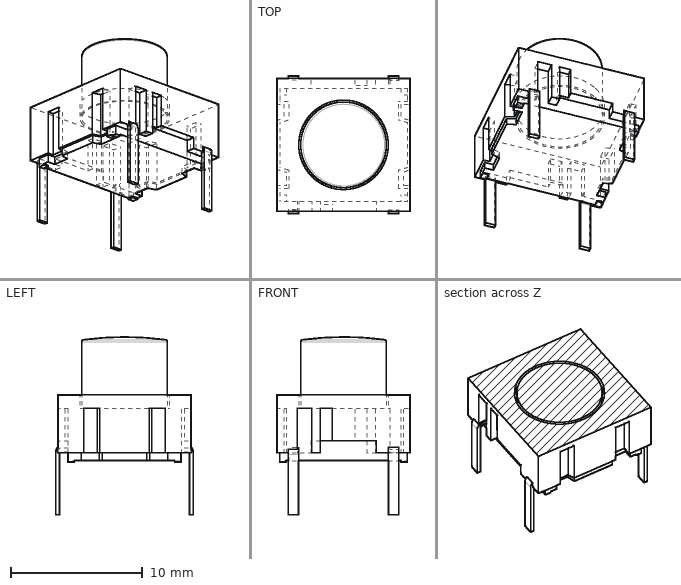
import cadquery as cq
import math


HOUSING_SIZE = 10.1
HOUSING_HEIGHT = 4.4
HALF_HOUSING = HOUSING_SIZE / 2

BASE_X = 9.7
BASE_Y = 8.6
FOOT_SIZE = 0.5
FOOT_HEIGHT = 0.1
BASE_EXPOSED_HEIGHT = 0.6
HOUSING_BOTTOM = FOOT_HEIGHT + BASE_EXPOSED_HEIGHT
HOUSING_TOP = HOUSING_BOTTOM + HOUSING_HEIGHT

BUTTON_DIAMETER = 6.5
BUTTON_PROJECTION = 4.4
BUTTON_TOP = HOUSING_TOP + BUTTON_PROJECTION
DOME_RISE = 0.21
BUTTON_EDGE_RADIUS = 0.15
BUTTON_HOLE_DIAMETER = 6.8
COVER_THICKNESS = 1.0
RECESS_TOP = HOUSING_TOP - COVER_THICKNESS

TALL_SLOT_LEFT = -3.5
TALL_SLOT_WIDTH = 1.1
RIB_WIDTH = 0.65
SHORT_SLOT_WIDTH = 0.9
SHORT_SLOT_DEPTH = 0.53
WINDOW_WIDTH = 4.25
WINDOW_HEIGHT = 0.9
TO_BASE_DEPTH = (HOUSING_SIZE - BASE_Y) / 2

SIDE_SLOT_OUTER_Y = 3.08
SIDE_SLOT_INNER_Y = 1.86
BASE_NOTCH_OUTER_Y = 3.3
BASE_NOTCH_INNER_Y = 1.7
SLANT_SHIFT = 0.21
REAR_SLOT_DEPTH = 0.52
FRONT_SLOT_DEPTH = 0.71
BASE_NOTCH_DEPTH = 0.69

PIN_PITCH = 7.62
PIN_WIDTH = 0.8
PIN_THICKNESS = 0.3
PIN_LENGTH = 4.0
PIN_SPAN = 10.46
BEND_INNER_RADIUS = 0.2
BEND_OUTER_RADIUS = BEND_INNER_RADIUS + PIN_THICKNESS
LOW_PIN_TOP = HOUSING_BOTTOM + 0.4
HIGH_PIN_TOP = LOW_PIN_TOP + 0.15
PIN_EMBEDDED_Y = -4.0


def block(x0, x1, y0, y1, z0, z1):
    """Box between two opposite corners."""
    return cq.Workplane("XY").box(x1 - x0, y1 - y0, z1 - z0, centered=False).translate((x0, y0, z0))


def with_half_turn(shape):
    """The shape joined with its copy turned half a turn about Z."""
    return shape.union(shape.rotate((0, 0, 0), (0, 0, 1), 180))


def make_housing():
    housing = (
        cq.Workplane("XY", origin=(0, 0, HOUSING_BOTTOM))
        .rect(HOUSING_SIZE, HOUSING_SIZE)
        .extrude(HOUSING_HEIGHT)
    )
    button_hole = (
        cq.Workplane("XY", origin=(0, 0, HOUSING_TOP))
        .circle(BUTTON_HOLE_DIAMETER / 2)
        .extrude(-COVER_THICKNESS)
    )
    return housing.cut(button_hole)


def make_front_recesses():
    """Two slots with a rib between them, and a low window running on from the second slot."""
    front = -HALF_HOUSING
    rib_left = TALL_SLOT_LEFT + TALL_SLOT_WIDTH
    rib_right = rib_left + RIB_WIDTH
    window_top = HOUSING_BOTTOM + WINDOW_HEIGHT
    tall_slot = block(TALL_SLOT_LEFT, rib_left, front, front + TO_BASE_DEPTH, HOUSING_BOTTOM, RECESS_TOP)
    short_slot = block(
        rib_right, rib_right + SHORT_SLOT_WIDTH, front, front + SHORT_SLOT_DEPTH, window_top, RECESS_TOP
    )
    window = block(
        rib_right, rib_right + WINDOW_WIDTH, front, front + TO_BASE_DEPTH, HOUSING_BOTTOM, window_top
    )
    return tall_slot.union(short_slot).union(window)


def slanted_notch(side, face_x, floor_x, inner_y, outer_y, z0, z1):
    """Notch in a -X face; its inner wall slants outward with depth. side is +1 for +Y, -1 for -Y."""
    return (
        cq.Workplane("XY", origin=(0, 0, z0))
        .moveTo(face_x, side * inner_y)
        .lineTo(face_x, side * outer_y)
        .lineTo(floor_x, side * outer_y)
        .lineTo(floor_x, side * (inner_y + SLANT_SHIFT))
        .close()
        .extrude(z1 - z0)
    )


def make_side_recess(side, depth):
    """Slot in the housing side, and the wider notch below it in the base."""
    slot_floor = -HALF_HOUSING + depth
    notch_floor = -BASE_X / 2 + BASE_NOTCH_DEPTH
    slot = slanted_notch(
        side, -HALF_HOUSING, slot_floor, SIDE_SLOT_INNER_Y, SIDE_SLOT_OUTER_Y, HOUSING_BOTTOM, RECESS_TOP
    )
    notch = slanted_notch(
        side, -BASE_X / 2, notch_floor, BASE_NOTCH_INNER_Y, BASE_NOTCH_OUTER_Y,
        0, HOUSING_BOTTOM,
    )
    return slot.union(notch)


def make_base():
    base = (
        cq.Workplane("XY", origin=(0, 0, FOOT_HEIGHT))
        .rect(BASE_X, BASE_Y)
        .extrude(BASE_EXPOSED_HEIGHT)
    )
    feet = (
        cq.Workplane("XY")
        .rect(BASE_X - FOOT_SIZE, BASE_Y - FOOT_SIZE, forConstruction=True)
        .vertices()
        .rect(FOOT_SIZE, FOOT_SIZE)
        .extrude(FOOT_HEIGHT)
    )
    return base.union(feet)


def make_button():
    """Cylinder with a rounded rim and a shallow domed top, standing on the floor of the button hole."""
    radius = BUTTON_DIAMETER / 2
    dome_radius = radius - BUTTON_EDGE_RADIUS
    rim_top = BUTTON_TOP - DOME_RISE
    rim_bottom = rim_top - BUTTON_EDGE_RADIUS
    sphere_radius = (dome_radius**2 + DOME_RISE**2) / (2 * DOME_RISE)
    half_r = dome_radius / 2
    half_z = BUTTON_TOP - sphere_radius + math.sqrt(sphere_radius**2 - half_r**2)
    rim_mid = BUTTON_EDGE_RADIUS * math.sqrt(0.5)
    return (
        cq.Workplane("XZ")
        .moveTo(0, RECESS_TOP)
        .lineTo(radius, RECESS_TOP)
        .lineTo(radius, rim_bottom)
        .threePointArc((dome_radius + rim_mid, rim_bottom + rim_mid), (dome_radius, rim_top))
        .threePointArc((half_r, half_z), (0, BUTTON_TOP))
        .close()
        .revolve(360, (0, 0), (0, 1))
    )


def make_pin(center_x, top):
    """Front pin: a horizontal leg leaves the housing and bends straight down."""
    outer_y = -PIN_SPAN / 2
    inner_y = outer_y + PIN_THICKNESS
    bend_y = outer_y + BEND_OUTER_RADIUS
    bend_z = top - BEND_OUTER_RADIUS
    outer_mid = BEND_OUTER_RADIUS * math.sqrt(0.5)
    inner_mid = BEND_INNER_RADIUS * math.sqrt(0.5)
    return (
        cq.Workplane("YZ", origin=(center_x - PIN_WIDTH / 2, 0, 0))
        .moveTo(outer_y, -PIN_LENGTH)
        .lineTo(outer_y, bend_z)
        .threePointArc((bend_y - outer_mid, bend_z + outer_mid), (bend_y, top))
        .lineTo(PIN_EMBEDDED_Y, top)
        .lineTo(PIN_EMBEDDED_Y, top - PIN_THICKNESS)
        .lineTo(bend_y, top - PIN_THICKNESS)
        .threePointArc((bend_y - inner_mid, bend_z + inner_mid), (inner_y, bend_z))
        .lineTo(inner_y, -PIN_LENGTH)
        .close()
        .extrude(PIN_WIDTH)
    )


recesses = make_front_recesses()
recesses = recesses.union(make_side_recess(1, REAR_SLOT_DEPTH))
recesses = recesses.union(make_side_recess(-1, FRONT_SLOT_DEPTH))

pins = make_pin(-PIN_PITCH / 2, LOW_PIN_TOP).union(make_pin(PIN_PITCH / 2, HIGH_PIN_TOP))

body = make_housing().union(make_base()).cut(with_half_turn(recesses))
result = body.union(make_button()).union(with_half_turn(pins))